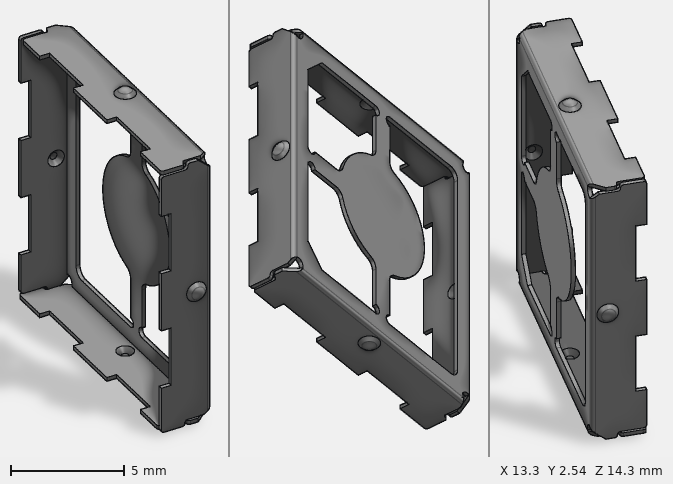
import cadquery as cq
import math


width = 12.75
height = 13.7
depth = 2.54
sheet = 0.2
panel_face = depth / 2
free_edge = -depth / 2

rim = 1.0
window_fillet = 0.5
window_chamfer = 1.0
disk_radius = 3.0
arm_width = 1.0
arm_fillet = 0.5
neck_radius = 0.25

relief_radius = 0.3
relief_reach = 0.63
relief_center = relief_reach - relief_radius

tongue_end = 1.2
tab_start = 1.34
end_inset = 0.3
tongue_chamfer_reach = 0.57
tongue_chamfer_rise = 0.67
tab_end_reach = 0.55
tab_end_rise = 0.37
corner_fillet = 0.14

notch_inner = 1.5
notch_outer = 4.5
notch_depth = 0.5

dimple_from_panel = 0.75
dimple_radius = 0.5
dimple_height = 0.29
dimple_cone_height = 0.17
recess_radius = dimple_radius - sheet * (math.sqrt(2) - 1)
recess_depth = dimple_height
recess_cone_depth = 0.24


def panel_block(x_size, z_size):
    """Block of panel thickness, centred on the panel."""
    center_y = panel_face - sheet / 2
    return cq.Workplane("XY").box(x_size, sheet, z_size).translate((0, center_y, 0))


def panel_disk(radius, x=0, z=0):
    """Disk of panel thickness with its axis along Y."""
    return cq.Workplane("XZ", origin=(x, panel_face, z)).circle(radius).extrude(sheet)


def make_relief(x_side, z_side):
    """Round-ended slot through the panel, open toward the corner."""
    x = x_side * (width / 2 - relief_center)
    z = z_side * (height / 2 - relief_center)
    slot = panel_block(2 * relief_radius, relief_center).translate((x, 0, z + z_side * relief_center / 2))
    corner = panel_block(relief_center, relief_center).translate(
        (x + x_side * relief_center / 2, 0, z + z_side * relief_center / 2)
    )
    return panel_disk(relief_radius, x, z).union(slot).union(corner)


def make_panel():
    window_half_x = width / 2 - rim
    window_half_z = height / 2 - rim
    window = (
        panel_block(2 * window_half_x, 2 * window_half_z)
        .edges("|Y and <X").fillet(window_fillet)
        .edges("|Y and >X").chamfer(window_chamfer)
    )
    frame = panel_block(width - 2 * sheet, height - 2 * sheet).cut(window)

    upright_arms = panel_block(arm_width, height - rim)
    side_arm_length = width / 2 - rim / 2
    side_arm = panel_block(side_arm_length, arm_width).translate((side_arm_length / 2, 0, 0))
    spider = panel_disk(disk_radius).union(upright_arms).union(side_arm)
    reach = disk_radius + 0.14
    disk_corners = cq.selectors.BoxSelector((-reach, -depth, -reach), (reach, depth, reach))
    spider = spider.edges("|Y").edges(disk_corners).fillet(arm_fillet)

    panel = frame.union(spider)
    for side in (-1, 1):
        arm_edge = side * arm_width / 2
        for end in (-1, 1):
            panel = panel.cut(panel_disk(neck_radius, arm_edge, end * (window_half_z - neck_radius)))
        panel = panel.cut(panel_disk(neck_radius, window_half_x - neck_radius, arm_edge))

    for x_side in (-1, 1):
        for z_side in (-1, 1):
            panel = panel.cut(make_relief(x_side, z_side))
    return panel


def domed_cone(base_radius, cone_height, full_height, base_z):
    """45 degree cone with a spherical tip, standing on Z = base_z at the dimple position."""
    tip_radius = base_radius - cone_height
    cap_height = full_height - cone_height
    sphere_radius = (tip_radius ** 2 + cap_height ** 2) / (2 * cap_height)
    half_angle = math.asin(tip_radius / sphere_radius) / 2
    cap_middle = (
        sphere_radius * math.sin(half_angle),
        full_height - sphere_radius * (1 - math.cos(half_angle)),
    )
    return (
        cq.Workplane("XZ")
        .lineTo(base_radius, 0)
        .lineTo(tip_radius, cone_height)
        .threePointArc(cap_middle, (0, full_height))
        .close()
        .revolve(360, (0, 0), (0, 1))
        .translate((0, panel_face - dimple_from_panel, base_z))
    )


def make_wall(length, offset):
    """Upper wall with its outer face at Z = offset; the tongue is at -X, the tab at +X."""
    half = length / 2
    tongue_y = panel_face - tongue_end
    tab_y = panel_face - tab_start
    notch_y = free_edge + notch_depth
    outline = [
        (-half + tongue_chamfer_reach, panel_face),
        (-half, panel_face - tongue_chamfer_rise),
        (-half, tongue_y),
        (-half + end_inset, tongue_y),
        (-half + end_inset, free_edge),
        (-notch_outer, free_edge),
        (-notch_outer, notch_y),
        (-notch_inner, notch_y),
        (-notch_inner, free_edge),
        (notch_inner, free_edge),
        (notch_inner, notch_y),
        (notch_outer, notch_y),
        (notch_outer, free_edge),
        (half, free_edge),
        (half, tab_y),
        (half - end_inset, tab_y),
        (half - end_inset, panel_face - tab_end_rise),
        (half - tab_end_reach, panel_face),
    ]
    rounded = [
        (-half, tongue_y),
        (-half + end_inset, tongue_y),
        (-half + end_inset, free_edge),
        (half, free_edge),
        (half, tab_y),
        (half - end_inset, tab_y),
    ]
    wall = cq.Workplane("XY", origin=(0, 0, offset - sheet)).polyline(outline).close().extrude(sheet)
    for x, y in rounded:
        corner = cq.selectors.NearestToPointSelector((x, y, offset - sheet / 2))
        wall = wall.edges("|Z").edges(corner).fillet(corner_fillet)

    dimple = domed_cone(dimple_radius, dimple_cone_height, dimple_height, offset)
    recess = domed_cone(recess_radius, recess_cone_depth, recess_depth, offset - sheet)
    return wall.union(dimple).cut(recess)


result = make_panel()
for quarter in range(4):
    across, along = (height, width) if quarter % 2 == 0 else (width, height)
    wall = make_wall(along, across / 2)
    result = result.union(wall.rotate((0, 0, 0), (0, 1, 0), 90 * quarter))

margin = 2 * dimple_height
bend_stock = panel_block(width + margin, height + margin)
bend_envelope = cq.Workplane("XY").box(width, depth, height).faces(">Y").edges().fillet(sheet)
result = result.cut(bend_stock.cut(bend_envelope))